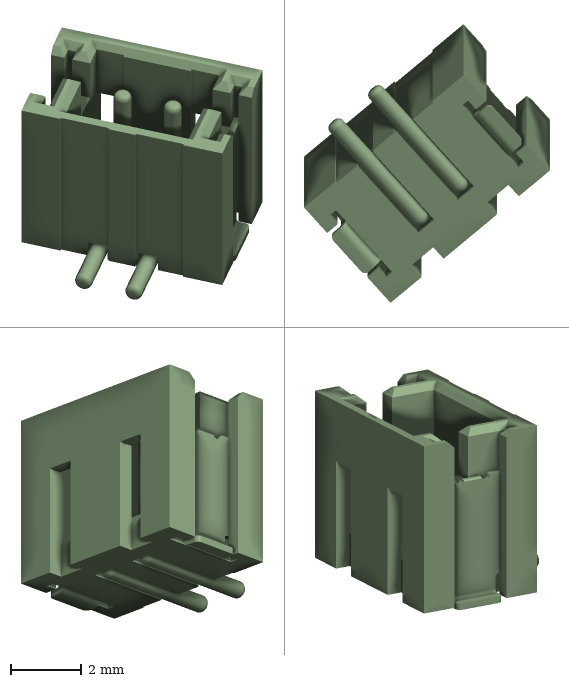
import cadquery as cq
import math


width = 6.0
depth = 3.75
height = 5.0
mouth_chamfer = 0.2

cavity_half_width = 1.83
cavity_front = 0.505
cavity_back = 3.3
floor_front_z = 0.8
floor_step_y = 1.895

opening_front = 1.0
opening_back = 2.74
opening_back_flare = 0.22
shelf_z = 3.5

slot_center_x = 2.485
slot_width = 0.24
slot_front = 0.655
slot_back = 3.095

relief_inner_x = 0.4
relief_depth = 0.05

window_inner_x = 1.0
window_top_z = 3.2
groove_depth = 0.035

pin_pitch = 1.5
pin_radius = 0.25
pin_y = 2.4
pin_axis_z = 0.15
pin_top_z = 4.25
pin_reach = 1.35
pin_tip_fillet = 0.155
pin_channel_width = 0.62
pin_channel_height = 0.5
pin_channel_back = 2.7

tab_thickness = 0.2
tab_top_z = 3.66
tab_bottom_z = -0.1
tab_corner_chamfer = 0.065
tab_shoulder_z = 0.64
tab_shoulder_fillet = 0.12
tab_bend_radius = 0.1
foot_width = 1.5
foot_corner_radius = 0.15
notch_offset = 0.425
notch_shoulder_run = 0.24
notch_depth = 0.17
tongue_top_z = 3.605
tongue_chamfer = 0.05

tab_center_y = (opening_front + opening_back) / 2
tab_outer_x = slot_center_x + tab_thickness / 2
tab_inner_x = slot_center_x - tab_thickness / 2
floor_back_z = floor_front_z + mouth_chamfer

notch_radius = (notch_shoulder_run**2 + notch_depth**2) / (4 * notch_depth)
notch_swing = math.asin(notch_shoulder_run / 2 / notch_radius)
notch_floor_z = tab_top_z - notch_depth
tongue_swing = math.acos(1 - (tongue_top_z - notch_floor_z) / notch_radius)
tongue_half_length = notch_offset - notch_radius * math.sin(tongue_swing)


def block(x0, x1, y0, y1, z0, z1):
    """Box between two opposite corners."""
    return cq.Workplane("XY").box(x1 - x0, y1 - y0, z1 - z0, centered=False).translate((x0, y0, z0))


def flared_block(x0, x1, y0, y1, z0, back_flare=mouth_chamfer):
    """Upright opening whose mouth widens towards the top of the housing."""
    flare = mouth_chamfer
    mouth = (
        cq.Workplane("XY", origin=(0, 0, height - flare))
        .moveTo((x0 + x1) / 2, (y0 + y1) / 2)
        .rect(x1 - x0, y1 - y0)
        .workplane(offset=flare)
        .moveTo((x0 + x1) / 2, (y0 + y1 + back_flare - flare) / 2)
        .rect(x1 - x0 + 2 * flare, y1 - y0 + flare + back_flare)
        .loft(ruled=True)
    )
    return block(x0, x1, y0, y1, z0, height - flare).union(mouth)


def on_both_ends(shape):
    """The shape together with its mirror image across the middle plane."""
    return shape.union(shape.mirror("YZ"))


def make_cavity():
    """Central cavity with a sloped step between its two floor levels."""
    cavity = flared_block(
        -cavity_half_width, cavity_half_width, cavity_front, cavity_back, floor_front_z
    )
    step = (
        cq.Workplane("YZ")
        .moveTo(floor_step_y - mouth_chamfer, floor_front_z)
        .lineTo(floor_step_y, floor_back_z)
        .lineTo(cavity_back, floor_back_z)
        .lineTo(cavity_back, floor_front_z)
        .close()
        .extrude(cavity_half_width, both=True)
    )
    return cavity.cut(step)


def make_end_openings():
    """Tab slot, side opening and inner shelf opening at the -X end."""
    slot_outer = -slot_center_x - slot_width / 2
    slot_inner = -slot_center_x + slot_width / 2
    slot = flared_block(slot_outer, slot_inner, slot_front, slot_back, 0)
    side = flared_block(
        -width / 2, -slot_center_x, opening_front, opening_back, 0, opening_back_flare
    )
    inner = flared_block(
        -slot_center_x, -cavity_half_width, floor_step_y, opening_back, shelf_z, opening_back_flare
    )
    return slot.union(side).union(inner)


def make_wall_cuts():
    """Front relief, back window and groove above it on the -X half."""
    relief = block(-cavity_half_width, -relief_inner_x, 0, relief_depth, 0, height)
    window = block(-cavity_half_width, -window_inner_x, cavity_back, depth, 0, window_top_z)
    groove = block(
        -cavity_half_width, -window_inner_x, cavity_back, cavity_back + groove_depth, 0, height
    )
    return relief.union(window).union(groove)


def make_housing():
    housing = block(-width / 2, width / 2, 0, depth, 0, height)
    housing = housing.cut(make_cavity())
    housing = housing.cut(on_both_ends(make_end_openings()))
    housing = housing.cut(on_both_ends(make_wall_cuts()))
    channel = block(
        (pin_pitch - pin_channel_width) / 2,
        (pin_pitch + pin_channel_width) / 2,
        0,
        pin_channel_back,
        0,
        pin_channel_height,
    )
    return housing.cut(on_both_ends(channel))


def make_pin():
    """Right-angle pin at +X with rounded tips and a spherical elbow."""
    x = pin_pitch / 2
    upright = (
        cq.Workplane("XY", origin=(x, pin_y, pin_axis_z))
        .circle(pin_radius)
        .extrude(pin_top_z - pin_axis_z)
        .faces(">Z")
        .edges()
        .fillet(pin_tip_fillet)
    )
    tail = (
        cq.Workplane("XZ", origin=(x, pin_y, pin_axis_z))
        .circle(pin_radius)
        .extrude(pin_y + pin_reach)
        .faces("<Y")
        .edges()
        .fillet(pin_tip_fillet)
    )
    elbow = cq.Workplane("XY", origin=(x, pin_y, pin_axis_z)).sphere(pin_radius)
    return upright.union(tail).union(elbow)


def tab_notch(side):
    """Notch beside the tongue in the tab's top edge; side is +1 or -1 along Y."""

    def crest(angle):
        offset = notch_offset + notch_shoulder_run - notch_radius * math.sin(angle)
        drop = notch_radius * (1 - math.cos(angle))
        return tab_center_y + side * offset, tab_top_z - drop

    def hollow(angle):
        offset = notch_offset + notch_radius * math.sin(angle)
        rise = notch_radius * (1 - math.cos(angle))
        return tab_center_y + side * offset, notch_floor_z + rise

    return (
        cq.Workplane("YZ", origin=(-tab_outer_x, 0, 0))
        .moveTo(*crest(0))
        .threePointArc(crest(notch_swing / 2), crest(notch_swing))
        .threePointArc(hollow(0), hollow(-tongue_swing))
        .lineTo(tab_center_y + side * tongue_half_length, tab_top_z)
        .close()
        .extrude(tab_thickness)
    )


def make_tab():
    """Solder tab at -X: an upright plate whose foot bends outwards."""
    foot_top_z = tab_bottom_z + tab_thickness
    bend_z = foot_top_z + tab_bend_radius
    foot_front = tab_center_y - foot_width / 2
    foot_back = tab_center_y + foot_width / 2

    plate = block(-tab_outer_x, -tab_inner_x, slot_front, slot_back, tab_shoulder_z, tab_top_z)
    plate = plate.faces(">Z").edges("|X").chamfer(tab_corner_chamfer)
    plate = plate.cut(tab_notch(1)).cut(tab_notch(-1))

    tongue_front = tab_center_y - tongue_half_length
    tongue_back = tab_center_y + tongue_half_length
    above_tongue = block(
        -tab_outer_x, -tab_inner_x, tongue_front, tongue_back, tongue_top_z - tongue_chamfer, tab_top_z
    )
    bevelled_tongue = (
        block(
            -tab_outer_x,
            -tab_inner_x,
            tongue_front,
            tongue_back,
            tongue_top_z - 2 * tongue_chamfer,
            tongue_top_z,
        )
        .faces(">Z")
        .edges("|Y")
        .chamfer(tongue_chamfer)
    )
    plate = plate.cut(above_tongue.cut(bevelled_tongue))

    outer_radius = tab_bend_radius + tab_thickness
    bend_x = -tab_outer_x - tab_bend_radius
    corner = math.sqrt(0.5)
    strip = (
        cq.Workplane("XZ", origin=(0, foot_back, 0))
        .moveTo(-tab_inner_x, tab_shoulder_z)
        .lineTo(-tab_inner_x, bend_z)
        .threePointArc(
            (bend_x + outer_radius * corner, bend_z - outer_radius * corner), (bend_x, tab_bottom_z)
        )
        .lineTo(-width / 2, tab_bottom_z)
        .lineTo(-width / 2, foot_top_z)
        .lineTo(bend_x, foot_top_z)
        .threePointArc(
            (bend_x + tab_bend_radius * corner, bend_z - tab_bend_radius * corner),
            (-tab_outer_x, bend_z),
        )
        .lineTo(-tab_outer_x, tab_shoulder_z)
        .close()
        .extrude(foot_width)
        .faces("<X")
        .edges("|Z")
        .fillet(foot_corner_radius)
    )
    tab = plate.union(strip)
    margin = 0.005
    shoulder_corners = cq.selectors.BoxSelector(
        (-tab_outer_x, foot_front - margin, tab_shoulder_z - margin),
        (-tab_inner_x, foot_back + margin, tab_shoulder_z + margin),
    )
    return tab.edges("|X").edges(shoulder_corners).fillet(tab_shoulder_fillet)


result = make_housing()
result = result.union(on_both_ends(make_pin()))
result = result.union(on_both_ends(make_tab()))